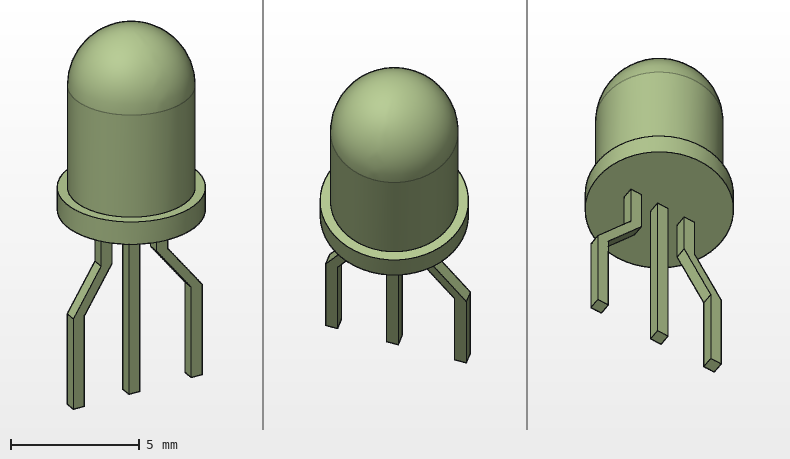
import cadquery as cq

total_height = 16.0
lead_length = 8.0
lead_thickness = 0.5
flange_diameter = 5.8
flange_height = 1.0
dome_radius = 2.5

upper_bend_height = 6.0
lower_bend_height = 4.0
root_offset = 1.25
back_tip_offset = 2.8
front_tip_offset = 2.5

flange_radius = flange_diameter / 2
flange_top = lead_length + flange_height
dome_base = total_height - dome_radius
dome_mid_offset = dome_radius * 0.5 ** 0.5


def make_housing():
    """Domed lens and flange, with the straight centre lead in one piece."""
    lens = (
        cq.Workplane("XZ")
        .moveTo(0, lead_length)
        .lineTo(flange_radius, lead_length)
        .lineTo(flange_radius, flange_top)
        .lineTo(dome_radius, flange_top)
        .lineTo(dome_radius, dome_base)
        .threePointArc((dome_mid_offset, dome_base + dome_mid_offset), (0, total_height))
        .close()
        .revolve(360, (0, 0, 0), (0, 1, 0))
    )
    centre_lead = cq.Workplane("XY").rect(lead_thickness, lead_thickness).extrude(lead_length)
    return lens.union(centre_lead).solids()


def make_bent_lead(root_y, tip_y):
    """Square lead that steps sideways from root_y at the housing to tip_y at its tip."""
    centre_line = [
        (root_y, lead_length),
        (root_y, upper_bend_height),
        (tip_y, lower_bend_height),
        (tip_y, 0),
    ]
    half_thickness = lead_thickness / 2
    front_edge = [(y - half_thickness, z) for y, z in centre_line]
    back_edge = [(y + half_thickness, z) for y, z in centre_line]
    outline = front_edge + back_edge[::-1]
    return cq.Workplane("YZ").polyline(outline).close().extrude(half_thickness, both=True)


housing = make_housing()
lead_positions = [
    (root_offset, back_tip_offset),
    (-root_offset, -front_tip_offset),
]
bent_leads = [make_bent_lead(root_y, tip_y) for root_y, tip_y in lead_positions]

result = cq.Compound.makeCompound([housing.val(), *[lead.val() for lead in bent_leads]])